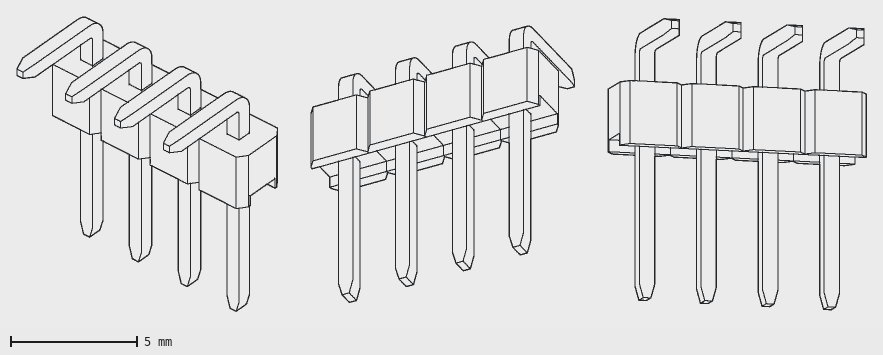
import cadquery as cq

position_count = 4
pitch = 2.54

housing_width = pitch
housing_depth = 2.54
housing_height = 2.54
corner_cut_x = 0.30
corner_cut_y = 0.41
channel_width = 1.52
channel_height = 0.48

pin_size = 0.64
pin_top = housing_height + 2.08
pin_bottom = -6.0
arm_reach = 4.40
inner_bend_radius = 0.18
outer_bend_radius = inner_bend_radius + pin_size
tip_size = pin_size / 2
leg_tip_length = 0.56
arm_tip_length = 0.55

half_pin = pin_size / 2
half_tip = tip_size / 2
arm_axis_z = pin_top - half_pin
arm_end_y = -(arm_reach - arm_tip_length)


def make_housing(x):
    """Block with its four vertical corners cut off, a channel below and a pin hole."""
    half_x = housing_width / 2
    half_y = housing_depth / 2
    flat_x = half_x - corner_cut_x
    flat_y = half_y - corner_cut_y
    outline = [
        (-flat_x, -half_y),
        (flat_x, -half_y),
        (half_x, -flat_y),
        (half_x, flat_y),
        (flat_x, half_y),
        (-flat_x, half_y),
        (-half_x, flat_y),
        (-half_x, -flat_y),
    ]
    block = cq.Workplane("XY").polyline(outline).close().extrude(housing_height)
    channel = cq.Workplane("XY").box(housing_width, channel_width, channel_height, centered=(True, True, False))
    pin_hole = cq.Workplane("XY").rect(pin_size, pin_size).extrude(housing_height)
    return block.cut(channel).cut(pin_hole).translate((x, 0, 0))


def make_bent_wire():
    """Square wire from the leg's blunt end, round the bend, to the start of the arm tip."""
    arm_bottom_z = pin_top - pin_size
    outer_corner = cq.selectors.NearestToPointSelector((0, half_pin, pin_top))
    inner_corner = cq.selectors.NearestToPointSelector((0, -half_pin, arm_bottom_z))
    outline = [
        (half_pin, pin_bottom),
        (half_pin, pin_top),
        (arm_end_y, pin_top),
        (arm_end_y, arm_bottom_z),
        (-half_pin, arm_bottom_z),
        (-half_pin, pin_bottom),
    ]
    wire = cq.Workplane("YZ", origin=(-half_pin, 0, 0)).polyline(outline).close().extrude(pin_size)
    wire = wire.edges("|X").edges(outer_corner).fillet(outer_bend_radius)
    return wire.edges("|X").edges(inner_corner).fillet(inner_bend_radius)


def make_leg_tip_cut(side):
    """Wedge that tapers the lower leg end on its +X or -X side (side = 1 or -1)."""
    return (
        cq.Workplane("XZ")
        .moveTo(side * half_pin, pin_bottom + leg_tip_length)
        .lineTo(side * half_tip, pin_bottom)
        .lineTo(side * half_pin, pin_bottom)
        .close()
        .extrude(half_pin, both=True)
    )


def make_arm_tip():
    """Truncated square pyramid on the end of the arm."""
    return (
        cq.Workplane("XZ", origin=(0, arm_end_y, arm_axis_z))
        .rect(pin_size, pin_size)
        .workplane(offset=arm_tip_length)
        .rect(tip_size, tip_size)
        .loft(ruled=True)
    )


def make_pin(x):
    """Bent pin whose leg tip tapers on two sides and whose arm tip tapers on four."""
    pin = make_bent_wire().union(make_arm_tip())
    for side in (-1, 1):
        pin = pin.cut(make_leg_tip_cut(side))
    return pin.translate((x, 0, 0))


first_x = -pitch * (position_count - 1) / 2
bodies = []
for index in range(position_count):
    position_x = first_x + index * pitch
    bodies.append(make_housing(position_x).solids().val())
    bodies.append(make_pin(position_x).solids().val())

result = cq.Compound.makeCompound(bodies)